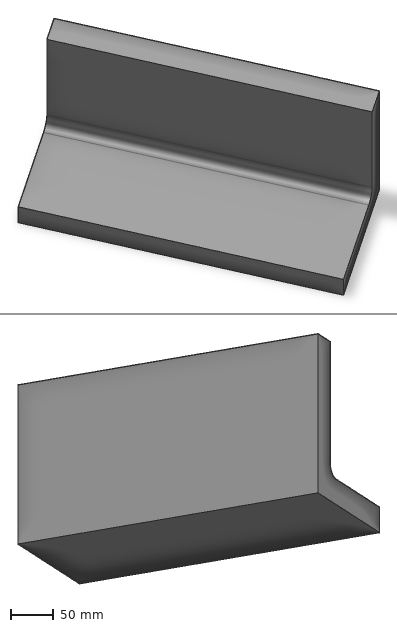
import cadquery as cq

length = 400.0
base_width = 160.0
wall_height = 200.0
thickness = 32.0
root_radius = 15.0

wall_front = base_width - thickness

profile = (
    cq.Workplane("YZ")
    .moveTo(0, 0)
    .lineTo(base_width, 0)
    .lineTo(base_width, wall_height)
    .lineTo(wall_front, wall_height)
    .lineTo(wall_front, thickness + root_radius)
    .radiusArc((wall_front - root_radius, thickness), root_radius)
    .lineTo(0, thickness)
    .close()
)

result = profile.extrude(length)